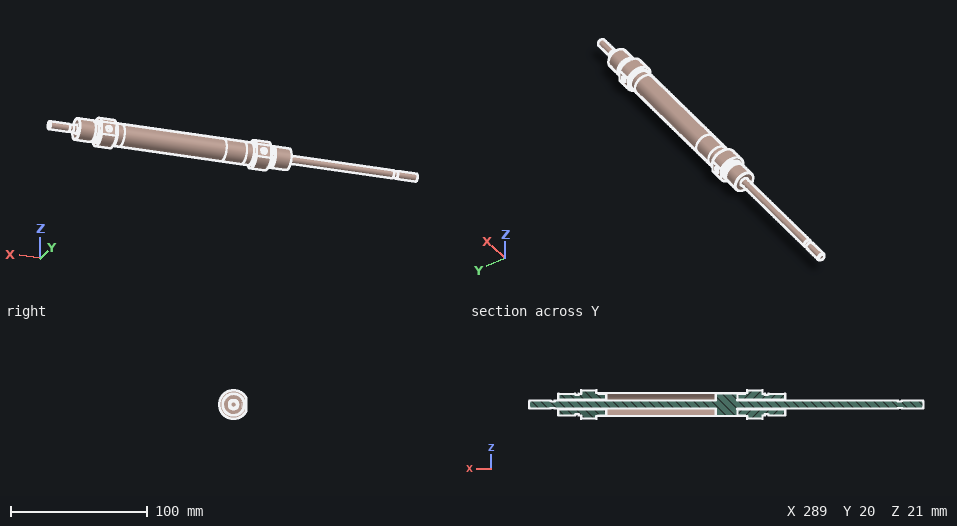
import cadquery as cq

length = 289.0

barrel_start = 131.0
barrel_length = 107.0
barrel_radius = 17.0 / 2
barrel_bore_radius = 8.0

nose_length = 12.5
neck_length = 2.5
collar_length = 1.7
ring_length = 11.3
lip_length = 1.7
spigot_length = 5.5
nose_radius = 8.0
neck_radius = 7.2
ring_radius = 21.0 / 2
nose_chamfer = 0.3
neck_taper = 0.5
head_bore_radius = 3.5
ring_across_flat = 20.0
port_diameter = 4.3
port_depth = 3.2

rod_radius = 6.0 / 2
tip_chamfer = 0.5
thread_length = 16.0
thread_chamfer = 0.3
thread_taper = 1.2
groove_radius = 2.5
groove_length = 3.0
piston_length = 16.0

head_length = nose_length + neck_length + collar_length + ring_length + lip_length
barrel_middle = barrel_start + barrel_length / 2
flat_offset = ring_across_flat - ring_radius


def disc(start, thickness, radius):
    """Cylinder on the X axis, running in +X from start."""
    return cq.Workplane("YZ", origin=(start, 0, 0)).circle(radius).extrude(thickness)


def revolved(profile):
    """Solid of revolution about the X axis from (x, radius) points."""
    return cq.Workplane("XY").polyline(profile).close().revolve(360, (0, 0, 0), (1, 0, 0))


def head_body():
    """Turned outside of a head, with its outer end at X = 0 and the barrel on its +X side."""
    collar_start = nose_length + neck_length
    ring_start = collar_start + collar_length
    ring_end = ring_start + ring_length
    spigot_end = head_length + spigot_length
    return revolved([
        (0, 0),
        (0, nose_radius - nose_chamfer),
        (nose_chamfer, nose_radius),
        (nose_length, nose_radius),
        (nose_length + neck_taper, neck_radius),
        (collar_start, neck_radius),
        (collar_start, nose_radius),
        (ring_start, nose_radius),
        (ring_start, ring_radius),
        (ring_end, ring_radius),
        (ring_end, barrel_radius),
        (head_length, barrel_radius),
        (head_length, barrel_bore_radius),
        (spigot_end, barrel_bore_radius),
        (spigot_end, 0),
    ])


def beyond_flat():
    """Block that takes the +Y side off the ring."""
    block = cq.Workplane("XY").box(
        head_length, ring_radius, 2 * ring_radius, centered=(False, False, True)
    )
    return block.translate((0, flat_offset, 0))


def port():
    """Blind round hole from the middle of the ring's flat towards the axis."""
    ring_middle = head_length - lip_length - ring_length / 2
    mouth = cq.Workplane("XZ", origin=(ring_middle, flat_offset, 0)).circle(port_diameter / 2)
    return mouth.extrude(port_depth)


def make_head():
    bore = disc(0, head_length + spigot_length, head_bore_radius)
    return head_body().cut(beyond_flat()).cut(port()).cut(bore)


def make_barrel():
    bore = disc(barrel_start, barrel_length, barrel_bore_radius)
    return disc(barrel_start, barrel_length, barrel_radius).cut(bore)


def thread_groove():
    """Ring-shaped groove behind the thread at the X = 0 tip."""
    groove_end = thread_length + groove_length
    return revolved([
        (thread_length - thread_chamfer, rod_radius),
        (thread_length, rod_radius - thread_chamfer),
        (thread_length + thread_taper, groove_radius),
        (groove_end, groove_radius),
        (groove_end, rod_radius),
    ])


def make_rod():
    """Rod threaded at both ends, with its piston against the left head's spigot."""
    rod = disc(0, length, rod_radius).edges().chamfer(tip_chamfer)
    groove = thread_groove()
    rod = rod.cut(groove).cut(groove.mirror("YZ").translate((length, 0, 0)))
    return rod.union(disc(barrel_start + spigot_length, piston_length, barrel_bore_radius))


left_head = make_head().translate((barrel_start - head_length, 0, 0))
right_head = left_head.mirror("YZ", (barrel_middle, 0, 0))
barrel = make_barrel()
rod = make_rod()

result = cq.Compound.makeCompound([left_head.val(), right_head.val(), barrel.val(), rod.val()])